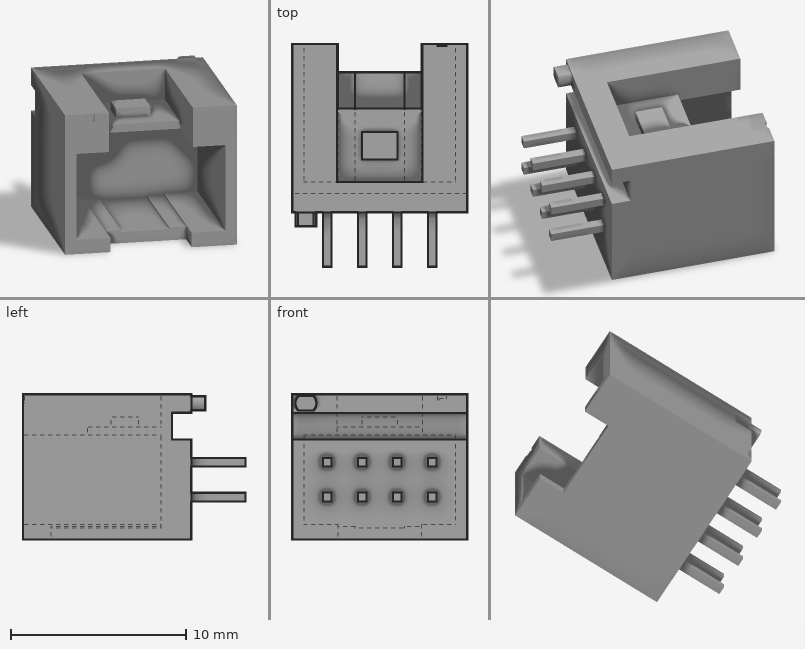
import cadquery as cq


housing_width = 10.0
housing_height = 8.3
total_length = 12.7
pin_length = 3.1
housing_depth = total_length - pin_length

side_wall = 0.67
cavity_depth = 7.87
cavity_ceiling_drop = 2.34
cavity_floor_drop = 7.44
cavity_width = housing_width - 2 * side_wall
cavity_end = housing_depth - cavity_depth

slot_width = 4.88
slot_drop = 1.87
mouth_length = 3.68

pad_width = 2.01
pad_length = 1.56
pad_height = 0.55
pad_setback = 5.02

notch_width = 4.74
notch_length = 1.6
recess_depth = 0.1
channel_width = 2.8
channel_depth = 2 * recess_depth

groove_depth = 1.09
groove_top_drop = 1.07
groove_bottom_drop = 2.58

pin_size = 0.51
pin_pitch = 2.0
pin_columns = 4
upper_row_drop = 3.89
pin_rows = 2

peg_flat_width = 0.89
peg_bulge = 0.15
peg_height = 0.81
peg_length = 0.8
peg_edge_gap = 0.19
peg_top_drop = 0.11

mark_left = 3.29
mark_width = 0.52
mark_height = 0.25
mark_step_width = 0.1
mark_step_height = 0.51
mark_depth = 0.1


def centred_block(width, y_start, y_end, z_bottom, z_top):
    """Box centred on X = 0 between the given Y and Z limits."""
    return (
        cq.Workplane("XY")
        .box(width, y_end - y_start, z_top - z_bottom, centered=(True, False, False))
        .translate((0, y_start, z_bottom))
    )


def from_top(drop):
    return housing_height - drop


def from_mouth(setback):
    return housing_depth - setback


def make_housing():
    shelf_z = from_top(slot_drop)
    ceiling_z = from_top(cavity_ceiling_drop)
    floor_z = from_top(cavity_floor_drop)
    mouth_end = from_mouth(mouth_length)

    body = centred_block(housing_width, 0, housing_depth, 0, housing_height)
    cavity = centred_block(cavity_width, cavity_end, housing_depth, floor_z, ceiling_z)
    slot = centred_block(slot_width, cavity_end, housing_depth, shelf_z, housing_height)
    mouth = centred_block(slot_width, mouth_end, housing_depth, floor_z, housing_height)
    notch = centred_block(notch_width, from_mouth(notch_length), housing_depth, 0, ceiling_z)
    recess = centred_block(notch_width, cavity_end, housing_depth, floor_z - recess_depth, ceiling_z)
    channel = centred_block(channel_width, cavity_end, housing_depth, floor_z - channel_depth, ceiling_z)
    groove = centred_block(
        housing_width, 0, groove_depth, from_top(groove_bottom_drop), from_top(groove_top_drop)
    )
    for opening in (cavity, slot, mouth, notch, recess, channel, groove):
        body = body.cut(opening)

    pad_end = from_mouth(pad_setback)
    pad = centred_block(pad_width, pad_end - pad_length, pad_end, shelf_z, shelf_z + pad_height)
    return body.union(pad)


def make_pin_one_mark():
    return (
        cq.Workplane("XZ", origin=(0, housing_depth, 0))
        .moveTo(mark_left, housing_height)
        .lineTo(mark_left + mark_width, housing_height)
        .lineTo(mark_left + mark_width, from_top(mark_height))
        .lineTo(mark_left + mark_step_width, from_top(mark_height))
        .lineTo(mark_left + mark_step_width, from_top(mark_step_height))
        .lineTo(mark_left, from_top(mark_step_height))
        .close()
        .extrude(mark_depth)
    )


def make_pins():
    """Square pins running from the cavity end wall out past the pin side."""
    row_centre_z = from_top(upper_row_drop) - pin_pitch * (pin_rows - 1) / 2
    return (
        cq.Workplane("XZ", origin=(0, cavity_end, row_centre_z))
        .rarray(pin_pitch, pin_pitch, pin_columns, pin_rows)
        .rect(pin_size, pin_size)
        .extrude(cavity_end + pin_length)
    )


def make_peg():
    flat_left = -housing_width / 2 + peg_edge_gap + peg_bulge
    flat_right = flat_left + peg_flat_width
    top_z = from_top(peg_top_drop)
    bottom_z = top_z - peg_height
    middle_z = (top_z + bottom_z) / 2
    return (
        cq.Workplane("XZ")
        .moveTo(flat_left, top_z)
        .lineTo(flat_right, top_z)
        .threePointArc((flat_right + peg_bulge, middle_z), (flat_right, bottom_z))
        .lineTo(flat_left, bottom_z)
        .threePointArc((flat_left - peg_bulge, middle_z), (flat_left, top_z))
        .close()
        .extrude(peg_length)
    )


result = make_housing().cut(make_pin_one_mark()).union(make_pins()).union(make_peg())